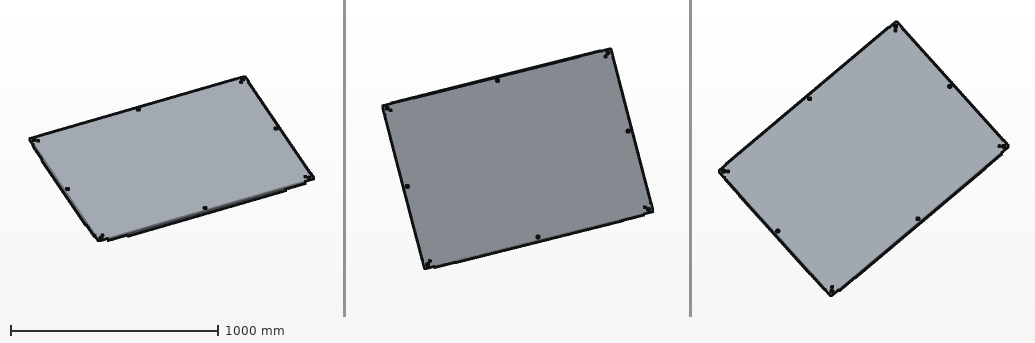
import cadquery as cq
import math

width = 837.0
length = 1141.0
height = 22.0

thickness = 2.5
inner_bend_radius = 3.2
outer_bend_radius = inner_bend_radius + thickness

tab_inset = 4.0
corner_radius = 7.0
plate_width = width - 2 * tab_inset

flange_end_inset = 49.0
middle_end_inset = 154.0
shallow_height = 13.0
end_slant = 5.0
side_slant = 0

mounting_diameter = 13.0
pilot_diameter = 7.2
mounting_x = 397.0
mounting_y = 550.0
pilot_x = 382.0
pilot_y = 535.0

top = height / 2
signs = (-1, 1)


def make_plate():
    """Flat sheet with rounded corner tabs, trimmed back to the start of each bend."""
    plate = (
        cq.Workplane("XY")
        .workplane(offset=top - thickness)
        .rect(plate_width, length)
        .extrude(thickness)
        .edges("|Z")
        .fillet(corner_radius)
    )
    bend_x = width / 2 - outer_bend_radius / 2
    bend_y = length / 2 - outer_bend_radius / 2
    end_trim = cq.Workplane("XY").box(width - 2 * flange_end_inset, outer_bend_radius, height)
    side_trim = cq.Workplane("XY").box(outer_bend_radius, length - 2 * flange_end_inset, height)
    for sign in signs:
        plate = plate.cut(end_trim.translate((0, sign * bend_y, 0)))
        plate = plate.cut(side_trim.translate((sign * bend_x, 0, 0)))
    return plate


def make_flange(panel_span, edge_span, slant):
    """Stepped flange along the -Y edge of a panel panel_span long in Y and edge_span wide in X.

    The free ends of both steps lean inward by slant.
    """
    edge_y = -panel_span / 2
    bend_y = edge_y + outer_bend_radius
    bend_z = top - outer_bend_radius
    diagonal = math.sqrt(0.5)
    half_length = edge_span / 2 - flange_end_inset
    section = (
        cq.Workplane("YZ")
        .workplane(offset=-half_length)
        .moveTo(bend_y, top)
        .threePointArc(
            (bend_y - outer_bend_radius * diagonal, bend_z + outer_bend_radius * diagonal),
            (edge_y, bend_z),
        )
        .lineTo(edge_y, -top)
        .lineTo(edge_y + thickness, -top)
        .lineTo(edge_y + thickness, bend_z)
        .threePointArc(
            (bend_y - inner_bend_radius * diagonal, bend_z + inner_bend_radius * diagonal),
            (bend_y, top - thickness),
        )
        .close()
        .extrude(2 * half_length)
    )
    half_middle = edge_span / 2 - middle_end_inset
    step_z = top - shallow_height
    right_side = [
        (half_length, top),
        (half_length, bend_z),
        (half_length - slant, step_z),
        (half_middle, step_z),
        (half_middle - slant, -top),
    ]
    left_side = [(-x, z) for x, z in reversed(right_side)]
    outline = (
        cq.Workplane("XZ")
        .workplane(offset=-bend_y)
        .polyline(right_side + left_side)
        .close()
        .extrude(outer_bend_radius)
    )
    return section.intersect(outline)


def make_holes(points, diameter):
    """Upright cutters through the sheet at the given points."""
    return cq.Workplane("XY").pushPoints(points).circle(diameter / 2).extrude(height)


end_flange = make_flange(length, width, end_slant)
side_flange = make_flange(width, length, side_slant).rotate((0, 0, 0), (0, 0, 1), -90)

result = make_plate()
for flange in (end_flange, side_flange):
    result = result.union(flange).union(flange.rotate((0, 0, 0), (0, 0, 1), 180))

mounting_points = [(sx * mounting_x, sy * mounting_y) for sx in signs for sy in signs]
mounting_points += [(s * mounting_x, 0) for s in signs]
mounting_points += [(0, s * mounting_y) for s in signs]
pilot_points = [(sx * pilot_x, sy * pilot_y) for sx in signs for sy in signs]

result = result.cut(make_holes(mounting_points, mounting_diameter))
result = result.cut(make_holes(pilot_points, pilot_diameter))